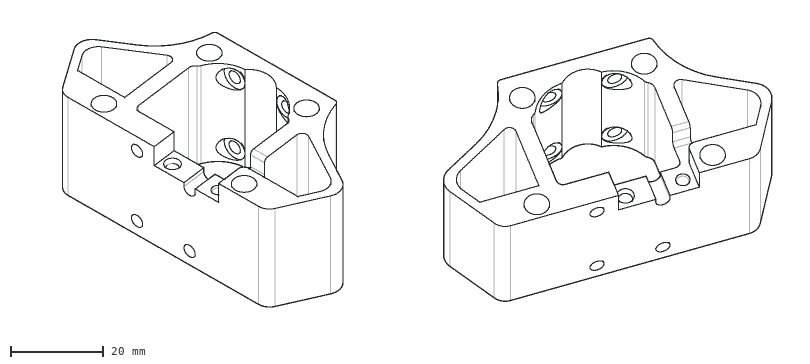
import cadquery as cq
import math

HEIGHT = 28.0
DEPTH = 37.07
HALF_WIDTH = 37.15
BASE_CORNER_X = 29.25
LOWER_FLANK_ANGLE = math.radians(60)
UPPER_FLANK_ANGLE = math.radians(30)
TIP_RADIUS = 4.0
FRONT_CORNER_RADIUS = 3.6
SHOULDER_RADIUS = 20.0
SHOULDER_START_X = 27.35
BACK_CORNER_RADIUS = 1.0

CAVITY_HALF_WIDTH = 14.0
CAVITY_FRONT_Y = 6.5
CAVITY_BACK_Y = 26.3
CAVITY_CORNER_RADIUS = 1.5
CAVITY_BACK_RADIUS = 2.0
LOBE_CENTRE = (4.0, 22.5)
LOBE_RADIUS = 9.4
LOBE_BLEND_RADIUS = 1.5
BULGE_CENTRE_Y = 27.9
BULGE_RADIUS = 6.0

SIDE_WALL = 4.0
WING_WALL = 2.1
POCKET_INNER_X = CAVITY_HALF_WIDTH + SIDE_WALL
POCKET_FRONT_Y = 8.0
POCKET_TIP_RADIUS = 3.6
POCKET_TOP_RADIUS = 1.5

MOUNT_HOLE_DIAMETER = 5.5
FRONT_MOUNT = (20.0, 3.5)
BACK_MOUNT = (13.87, 31.0)

SCREW_DIAMETER = 3.2
SCREW_HEAD_DIAMETER = 6.0
SCREW_SEAT_Y = 32.0
SCREW_X = 7.5
SCREW_EDGE = 4.0

NOTCH_DEPTH = 5.4
NOTCH_FLOOR = HEIGHT - NOTCH_DEPTH
NOTCH_LEFT_X = -2.6
NOTCH_RIGHT_X = 15.77
NOTCH_BLOCK_RADIUS = 1.5
STEP_Y = 12.5
STEP_RADIUS = 1.0
CHANNEL_WIDTH = 3.2
CHANNEL_AXIS_Z = 21.5

INSERT_Y = 3.0
INSERT_DEPTH = 6.0
INSERT_HOLES = (
    (0.0, 3.8, 3.0, 1.2),
    (13.05, 3.1, 2.75, 0.6),
)

TIP_OVERHANG = math.sin(UPPER_FLANK_ANGLE) + math.cos(UPPER_FLANK_ANGLE) - 1
TIP_X = HALF_WIDTH + TIP_RADIUS * TIP_OVERHANG
TIP_Y = (TIP_X - BASE_CORNER_X) * math.tan(LOWER_FLANK_ANGLE)


def upper_flank_y(x):
    return TIP_Y + (TIP_X - x) * math.tan(UPPER_FLANK_ANGLE)


def round_vertical_edges(solid, points, radius):
    """Fillet the vertical edges that pass through the given plan points."""
    z_middle = HEIGHT / 2
    for x, y in points:
        nearest = cq.selectors.NearestToPointSelector((x, y, z_middle))
        solid = solid.edges("|Z").edges(nearest).fillet(radius)
    return solid


def both_sides(points):
    return [(side * x, y) for x, y in points for side in (1, -1)]


def body():
    start_y = upper_flank_y(SHOULDER_START_X)
    centre_x = SHOULDER_START_X + SHOULDER_RADIUS * math.sin(UPPER_FLANK_ANGLE)
    centre_y = start_y + SHOULDER_RADIUS * math.cos(UPPER_FLANK_ANGLE)
    start_angle = math.pi * 1.5 - UPPER_FLANK_ANGLE
    end_angle = math.pi + math.asin((centre_y - DEPTH) / SHOULDER_RADIUS)
    middle_angle = (start_angle + end_angle) / 2
    middle = (
        centre_x + SHOULDER_RADIUS * math.cos(middle_angle),
        centre_y + SHOULDER_RADIUS * math.sin(middle_angle),
    )
    back_corner = (centre_x + SHOULDER_RADIUS * math.cos(end_angle), DEPTH)
    half = (
        cq.Workplane("XY")
        .lineTo(BASE_CORNER_X, 0)
        .lineTo(TIP_X, TIP_Y)
        .lineTo(SHOULDER_START_X, start_y)
        .threePointArc(middle, back_corner)
        .lineTo(0, DEPTH)
        .close()
        .extrude(HEIGHT)
    )
    solid = half.union(half.mirror("YZ")).clean()
    solid = round_vertical_edges(solid, both_sides([(TIP_X, TIP_Y)]), TIP_RADIUS)
    solid = round_vertical_edges(solid, both_sides([(BASE_CORNER_X, 0)]), FRONT_CORNER_RADIUS)
    return round_vertical_edges(solid, both_sides([back_corner]), BACK_CORNER_RADIUS)


def lobe_box_crossing():
    """Plan point where the right lobe leaves the rounded back corner of the cavity box."""
    corner_x = CAVITY_HALF_WIDTH - CAVITY_BACK_RADIUS
    corner_y = CAVITY_BACK_Y - CAVITY_BACK_RADIUS
    dx = corner_x - LOBE_CENTRE[0]
    dy = corner_y - LOBE_CENTRE[1]
    spacing = math.hypot(dx, dy)
    along = (spacing**2 + LOBE_RADIUS**2 - CAVITY_BACK_RADIUS**2) / (2 * spacing)
    across = math.sqrt(LOBE_RADIUS**2 - along**2)
    return (
        LOBE_CENTRE[0] + (along * dx - across * dy) / spacing,
        LOBE_CENTRE[1] + (along * dy + across * dx) / spacing,
    )


def cavity():
    box = cq.Workplane("XY").box(
        2 * CAVITY_HALF_WIDTH, CAVITY_BACK_Y - CAVITY_FRONT_Y, HEIGHT, centered=(True, False, False)
    )
    box = box.translate((0, CAVITY_FRONT_Y, 0))
    box = box.edges("|Z and <Y").fillet(CAVITY_CORNER_RADIUS)
    box = box.edges("|Z and >Y").fillet(CAVITY_BACK_RADIUS)
    lobe = cq.Workplane("XY").center(*LOBE_CENTRE).circle(LOBE_RADIUS).extrude(HEIGHT)
    bulge = cq.Workplane("XY").center(0, BULGE_CENTRE_Y).circle(BULGE_RADIUS).extrude(HEIGHT)
    solid = box.union(lobe).union(lobe.mirror("YZ")).union(bulge)
    return round_vertical_edges(solid, both_sides([lobe_box_crossing()]), LOBE_BLEND_RADIUS)


def wing_pocket():
    """Right-hand pocket; its sloping walls run parallel to the flanks."""
    wall_x = WING_WALL / math.sin(LOWER_FLANK_ANGLE)
    wall_y = WING_WALL / math.cos(UPPER_FLANK_ANGLE)
    front_x = BASE_CORNER_X + POCKET_FRONT_Y / math.tan(LOWER_FLANK_ANGLE) - wall_x
    top = (POCKET_INNER_X, upper_flank_y(POCKET_INNER_X) - wall_y)
    tip_x = TIP_X - WING_WALL * (TIP_OVERHANG + 1)
    tip = (tip_x, upper_flank_y(tip_x) - wall_y)
    solid = (
        cq.Workplane("XY")
        .polyline([(POCKET_INNER_X, POCKET_FRONT_Y), (front_x, POCKET_FRONT_Y), tip, top])
        .close()
        .extrude(HEIGHT)
    )
    solid = round_vertical_edges(solid, [tip], POCKET_TIP_RADIUS)
    return round_vertical_edges(solid, [top], POCKET_TOP_RADIUS)


def mount_holes():
    points = both_sides([FRONT_MOUNT, BACK_MOUNT])
    return cq.Workplane("XY").pushPoints(points).circle(MOUNT_HOLE_DIAMETER / 2).extrude(HEIGHT)


def screw_holes():
    heights = (SCREW_EDGE, HEIGHT - SCREW_EDGE)
    points = [(x, z) for x in (-SCREW_X, SCREW_X) for z in heights]
    bores = cq.Workplane("XZ").pushPoints(points).circle(SCREW_DIAMETER / 2).extrude(-DEPTH)
    seat_start_y = CAVITY_BACK_Y - CAVITY_BACK_RADIUS
    seats = (
        cq.Workplane("XZ", origin=(0, seat_start_y, 0))
        .pushPoints(points)
        .circle(SCREW_HEAD_DIAMETER / 2)
        .extrude(seat_start_y - SCREW_SEAT_Y)
    )
    return bores.union(seats)


def notch():
    front = (
        cq.Workplane("XY", origin=(0, 0, NOTCH_FLOOR))
        .moveTo(NOTCH_LEFT_X, 0)
        .lineTo(NOTCH_RIGHT_X, 0)
        .lineTo(NOTCH_RIGHT_X, POCKET_FRONT_Y - NOTCH_BLOCK_RADIUS)
        .radiusArc((NOTCH_RIGHT_X + NOTCH_BLOCK_RADIUS, POCKET_FRONT_Y), NOTCH_BLOCK_RADIUS)
        .lineTo(NOTCH_LEFT_X, POCKET_FRONT_Y)
        .close()
        .extrude(NOTCH_DEPTH)
    )
    side = (
        cq.Workplane("YZ", origin=(CAVITY_HALF_WIDTH, 0, 0))
        .moveTo(POCKET_FRONT_Y, NOTCH_FLOOR)
        .lineTo(STEP_Y - STEP_RADIUS, NOTCH_FLOOR)
        .radiusArc((STEP_Y, NOTCH_FLOOR + STEP_RADIUS), -STEP_RADIUS)
        .lineTo(STEP_Y, HEIGHT - STEP_RADIUS)
        .radiusArc((STEP_Y + STEP_RADIUS, HEIGHT), STEP_RADIUS)
        .lineTo(POCKET_FRONT_Y, HEIGHT)
        .close()
        .extrude(SIDE_WALL)
    )
    return front.union(side)


def cable_channel():
    round_bottom = (
        cq.Workplane("XZ")
        .center(SCREW_X, CHANNEL_AXIS_Z)
        .circle(CHANNEL_WIDTH / 2)
        .extrude(-CAVITY_FRONT_Y)
    )
    slot = cq.Workplane("XY").box(
        CHANNEL_WIDTH, CAVITY_FRONT_Y, HEIGHT - CHANNEL_AXIS_Z, centered=(True, False, False)
    )
    return round_bottom.union(slot.translate((SCREW_X, 0, CHANNEL_AXIS_Z)))


def insert_hole(x, mouth_diameter, bore_diameter, taper_depth):
    return (
        cq.Workplane("XZ")
        .lineTo(mouth_diameter / 2, 0)
        .lineTo(bore_diameter / 2, -taper_depth)
        .lineTo(bore_diameter / 2, -INSERT_DEPTH)
        .lineTo(0, -INSERT_DEPTH)
        .close()
        .revolve(360, (0, 0), (0, 1))
        .translate((x, INSERT_Y, NOTCH_FLOOR))
    )


right_pocket = wing_pocket()
result = body().cut(cavity()).cut(right_pocket).cut(right_pocket.mirror("YZ"))
result = result.cut(mount_holes()).cut(screw_holes()).cut(notch()).cut(cable_channel())
for hole in INSERT_HOLES:
    result = result.cut(insert_hole(*hole))